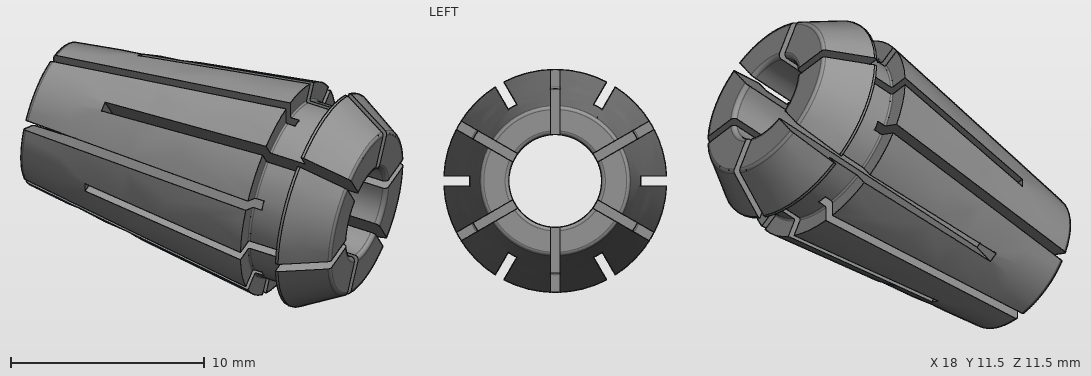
import cadquery as cq
import math

length = 18.0
cone_end = 13.5
head_start = 15.5
rim_width = 0.15

max_diameter = 11.5
groove_diameter = 9.5
bore_diameter = 4.77
cone_half_angle = 8.0
head_half_angle = 30.0

nose_round = 0.2
tail_round = 0.23
groove_round = 0.09

slot_count = 6
slot_width = 0.5
slot_end_margin = 4.0

max_radius = max_diameter / 2
groove_radius = groove_diameter / 2
bore_radius = bore_diameter / 2
rim_end = head_start + rim_width
nose_radius = max_radius - cone_end * math.tan(math.radians(cone_half_angle))
tail_radius = max_radius - (length - rim_end) * math.tan(math.radians(head_half_angle))
slot_length = length - slot_end_margin


def root_edge(position):
    """Selector for the circle where the groove floor meets the wall at this X."""
    margin = 0.18
    reach = groove_radius + margin
    return cq.selectors.BoxSelector(
        (position - margin, -reach, -reach),
        (position + margin, reach, reach),
        boundingbox=True,
    )


def collet_body():
    """Tapered body, locking groove and conical head, turned about X with its bore."""
    body = (
        cq.Workplane("XY")
        .moveTo(0, bore_radius)
        .lineTo(0, nose_radius)
        .lineTo(cone_end, max_radius)
        .lineTo(cone_end, groove_radius)
        .lineTo(head_start, groove_radius)
        .lineTo(head_start, max_radius)
        .lineTo(rim_end, max_radius)
        .lineTo(length, tail_radius)
        .lineTo(length, bore_radius)
        .close()
        .revolve(360, (0, 0, 0), (1, 0, 0))
    )
    body = body.faces("<X").edges().fillet(nose_round)
    body = body.faces(">X").edges().fillet(tail_round)
    body = body.edges(root_edge(cone_end)).fillet(groove_round)
    return body.edges(root_edge(head_start)).fillet(groove_round)


def slot_ring(start, first_angle):
    """Radial slots from the bore outwards, evenly spaced about X."""
    slots = cq.Workplane("XY")
    for index in range(slot_count):
        slot = (
            cq.Workplane("XY")
            .box(slot_length, max_radius, slot_width, centered=(False, False, True))
            .translate((start, 0, 0))
            .rotate((0, 0, 0), (1, 0, 0), first_angle + index * 360 / slot_count)
        )
        slots = slots.add(slot)
    return slots.combine()


nose_slots = slot_ring(0, 90)
tail_slots = slot_ring(slot_end_margin, 0)
result = collet_body().cut(nose_slots).cut(tail_slots)